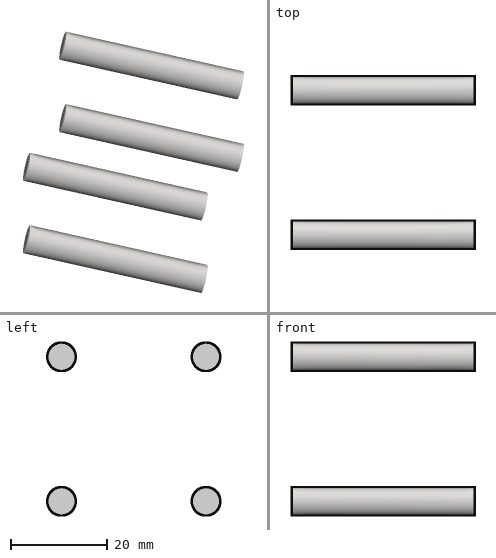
import cadquery as cq

rod_length = 38.1
rod_diameter = 6.0
outer_width = 36.0

rod_offset = (outer_width - rod_diameter) / 2


def make_rod(y, z):
    """One plain round rod along X, centred on X = 0, with its axis at (y, z)."""
    return (
        cq.Workplane("YZ", origin=(-rod_length / 2, y, z))
        .circle(rod_diameter / 2)
        .extrude(rod_length)
    )


rods = []
for y in (-rod_offset, rod_offset):
    for z in (-rod_offset, rod_offset):
        rods.append(make_rod(y, z).val())

result = cq.Compound.makeCompound(rods)